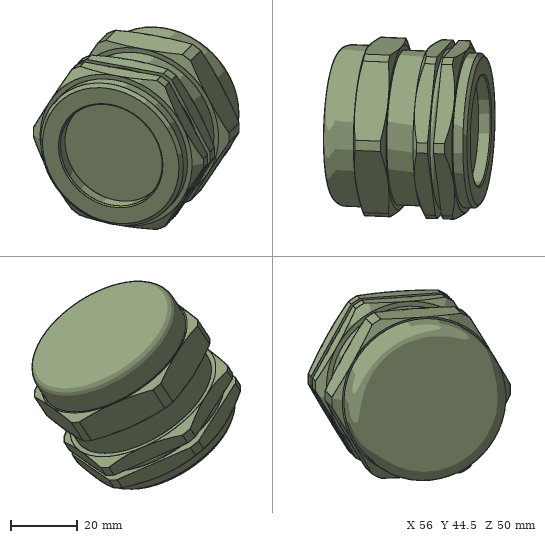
import cadquery as cq
import math

TOTAL_LENGTH = 44.5
BODY_DIAMETER = 47.0
END_CHAMFER = 1.05

ACROSS_FLATS = 50.0
ACROSS_CORNERS = 56.0
LOCKNUT_START = 4.15
THIN_HEX_WIDTH = 5.05
CAP_HEX_START = 24.45
CAP_HEX_WIDTH = 10.0
THIN_HEX_BEVEL = 1.75
CAP_HEX_BEVEL = 1.1

RING_DIAMETER = 49.45
RING_WIDTH = 1.9

CAP_DIAMETER = 49.0
CAP_ROUNDING = 4.0

BORE_DIAMETER = 33.5
BORE_MOUTH_DIAMETER = 34.3
BORE_DEPTH = 4.0

ring_start = LOCKNUT_START + THIN_HEX_WIDTH
flange_start = ring_start + RING_WIDTH
cap_start = CAP_HEX_START + CAP_HEX_WIDTH


def disc(diameter, start, length):
    """Cylinder along +Y."""
    plane = cq.Workplane("XZ", origin=(0, start, 0))
    return plane.circle(diameter / 2).extrude(-length)


def hexagon(start, width, near_bevel, far_bevel):
    """Hexagon with corners on X, its corners turned down and bevelled at each end."""
    corner_diameter = ACROSS_FLATS / math.cos(math.radians(30))
    plane = cq.Workplane("XZ", origin=(0, start, 0))
    prism = plane.polygon(6, corner_diameter).extrude(-width)
    envelope = disc(ACROSS_CORNERS, start, width)
    bevel_depth = (ACROSS_CORNERS - ACROSS_FLATS) / 2
    if near_bevel:
        envelope = envelope.faces("<Y").chamfer(near_bevel, bevel_depth)
    if far_bevel:
        envelope = envelope.faces(">Y").chamfer(far_bevel, bevel_depth)
    return prism.intersect(envelope)


body = disc(BODY_DIAMETER, 0, cap_start).faces("<Y").chamfer(END_CHAMFER)
locknut = hexagon(LOCKNUT_START, THIN_HEX_WIDTH, THIN_HEX_BEVEL, 0)
flange = hexagon(flange_start, THIN_HEX_WIDTH, 0, THIN_HEX_BEVEL)
cap_hex = hexagon(CAP_HEX_START, CAP_HEX_WIDTH, CAP_HEX_BEVEL, CAP_HEX_BEVEL)

ring_radius = RING_DIAMETER / 2
ring_shoulder = ring_radius - RING_WIDTH / 2
sealing_ring = (
    cq.Workplane("XY")
    .moveTo(0, ring_start)
    .lineTo(ring_shoulder, ring_start)
    .threePointArc((ring_radius, ring_start + RING_WIDTH / 2), (ring_shoulder, flange_start))
    .lineTo(0, flange_start)
    .close()
    .revolve(360, (0, 0, 0), (0, 1, 0))
)

cap = disc(CAP_DIAMETER, cap_start, TOTAL_LENGTH - cap_start)
cap = cap.faces(">Y").edges().fillet(CAP_ROUNDING)

mouth_chamfer = (BORE_MOUTH_DIAMETER - BORE_DIAMETER) / 2
bore = disc(BORE_DIAMETER, 0, BORE_DEPTH)
mouth_edge = cq.selectors.RadiusNthSelector(0)

result = body.union(locknut).union(sealing_ring).union(flange).union(cap_hex).union(cap)
result = result.cut(bore)
result = result.faces("<Y").edges(mouth_edge).chamfer(mouth_chamfer)